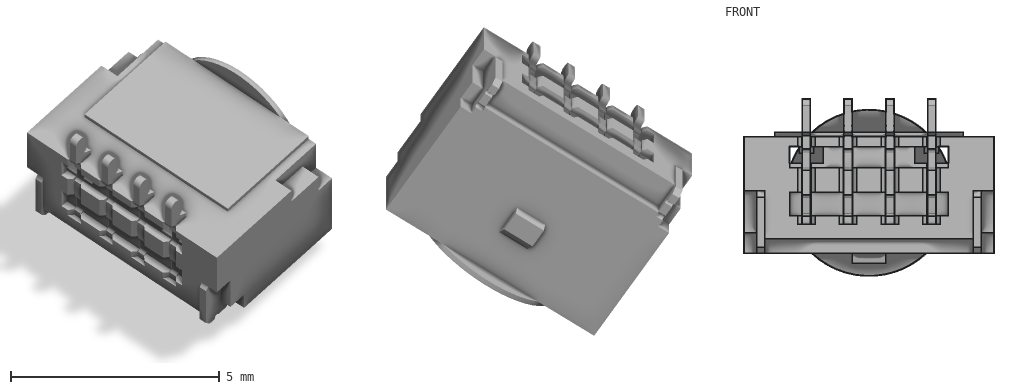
import cadquery as cq
import math


housing_width = 6.0
housing_depth = 4.25
housing_height = 2.8
half_width = housing_width / 2

plate_width = 4.525
plate_front = 1.265
plate_thickness = 0.11
disc_diameter = 3.99
disc_thickness = 0.13
disc_center_z = 1.45

back_notch_width = 0.505
back_notch_long = 1.5
back_notch_short = 0.5
back_notch_shallow = 0.395
back_notch_deep = 0.9

key_width = 0.81
key_height = 0.24
key_top_front = 2.465
key_top_back = 3.235
key_bottom_front = 2.52
key_bottom_back = 3.02

tab_inner_x = 2.495
tab_thickness = 0.2
tab_overhang = 0.05
tab_chamfer = 0.15
tab_height = 1.5
tab_upper_depth = 0.5
tab_foot_depth = 1.0
tab_foot_height = 0.5
relief_height = 0.065
relief_front = 0.355
relief_back = 0.76
relief_radius = 0.065
relief_center_z = 0.04

step_depth = 0.695
step_height = 0.35

contact_count = 4
contact_pitch = 1.0
contact_width = 0.2
contact_front = 0.12
contact_back = 0.5
slot_width = 0.23
slot_mouth_width = 0.42
slot_mouth_depth = 0.1
slot_bottom = 0.7

groove_width = 3.81
groove_depth = 0.2
upper_groove = (2.06, 2.56)
lower_groove = (0.9, 1.47)

window_width = 0.805
window_bottom = 2.165
rib_width = 0.35
rib_height = 0.16

recess_depth = 0.095
recess_fillet = 0.05
recess_slope_rise = 0.02
upper_recess = (1.99, 2.51)
lower_recess = (0.895, 1.41)
tail_front = -0.05
tail_back = 0.265
tail_top = 3.71
shoulder_back_z = 2.935
shoulder_top_z = 3.06
overhang_top_z = 2.91
overhang_bottom_z = 2.82

contact_xs = [(i - (contact_count - 1) / 2) * contact_pitch for i in range(contact_count)]


def block(x_range, y_range, z_range):
    """Box between the given limits."""
    (x0, x1), (y0, y1), (z0, z1) = x_range, y_range, z_range
    return cq.Workplane("XY").box(x1 - x0, y1 - y0, z1 - z0, centered=False).translate((x0, y0, z0))


def side_profile(points, x0, x1):
    """Prism from x0 to x1 with an outline given as (y, z) points."""
    return cq.Workplane("YZ", origin=(x0, 0, 0)).polyline(points).close().extrude(x1 - x0)


def both_sides(shape):
    """A shape together with its mirror image in the plane X = 0."""
    return shape.union(shape.mirror("YZ"))


def make_plate():
    return block(
        (-plate_width / 2, plate_width / 2),
        (plate_front, housing_depth),
        (housing_height, housing_height + plate_thickness),
    )


def make_disc():
    back = housing_depth + disc_thickness
    return (
        cq.Workplane("XZ", origin=(0, back, disc_center_z))
        .circle(disc_diameter / 2)
        .extrude(disc_thickness)
    )


def make_key():
    outline = [
        (key_top_front, 0),
        (key_bottom_front, -key_height),
        (key_bottom_back, -key_height),
        (key_top_back, 0),
    ]
    return side_profile(outline, -key_width / 2, key_width / 2)


def make_back_notches():
    x_range = (half_width - back_notch_width, half_width)
    long_part = block(
        x_range,
        (housing_depth - back_notch_long, housing_depth),
        (housing_height - back_notch_shallow, housing_height),
    )
    deep_part = block(
        x_range,
        (housing_depth - back_notch_short, housing_depth),
        (housing_height - back_notch_deep, housing_height),
    )
    return both_sides(long_part.union(deep_part))


def make_front_notches():
    x_range = (tab_inner_x, half_width)
    upper_part = block(x_range, (0, tab_upper_depth), (0, tab_height))
    foot_part = block(x_range, (0, tab_foot_depth), (0, tab_foot_height))
    return both_sides(upper_part.union(foot_part))


def make_tabs():
    """Stepped tabs with chamfered front corners and a relief with round ends under the foot."""
    front = -tab_overhang
    outline = [
        (front + tab_chamfer, 0),
        (tab_foot_depth, 0),
        (tab_foot_depth, tab_foot_height),
        (tab_upper_depth, tab_foot_height),
        (tab_upper_depth, tab_height),
        (front + tab_chamfer, tab_height),
        (front, tab_height - tab_chamfer),
        (front, tab_chamfer),
    ]
    outer_x = tab_inner_x + tab_thickness
    tab = side_profile(outline, tab_inner_x, outer_x)
    relief = block((tab_inner_x, outer_x), (relief_front, relief_back), (0, relief_height))
    round_ends = (
        cq.Workplane("YZ", origin=(tab_inner_x, 0, 0))
        .pushPoints([(relief_front, relief_center_z), (relief_back, relief_center_z)])
        .circle(relief_radius)
        .extrude(tab_thickness)
    )
    return both_sides(tab.cut(relief).cut(round_ends))


def make_front_step():
    return block((-tab_inner_x, tab_inner_x), (0, step_depth), (0, step_height))


def make_groove(z_range):
    return block((-groove_width / 2, groove_width / 2), (0, groove_depth), z_range)


def make_windows():
    """Through windows, each with a rib under its ceiling that slopes down behind the contact."""
    outer_x = groove_width / 2
    ceiling = upper_groove[1]
    window = block((outer_x - window_width, outer_x), (0, housing_depth), (window_bottom, ceiling))
    rib_outline = [
        (contact_back, ceiling),
        (contact_back + rib_height, ceiling - rib_height),
        (housing_depth, ceiling - rib_height),
        (housing_depth, ceiling),
    ]
    rib_center = contact_xs[-1]
    rib = side_profile(rib_outline, rib_center - rib_width / 2, rib_center + rib_width / 2)
    return both_sides(window.cut(rib))


def make_slot(x):
    """Vertical slot with a flared mouth, open at the front and top."""
    half_slot = slot_width / 2
    half_mouth = slot_mouth_width / 2
    outline = [
        (-half_mouth, 0),
        (-half_slot, slot_mouth_depth),
        (-half_slot, contact_back),
        (half_slot, contact_back),
        (half_slot, slot_mouth_depth),
        (half_mouth, 0),
    ]
    slot = cq.Workplane("XY").polyline(outline).close().extrude(housing_height - slot_bottom)
    return slot.translate((x, 0, slot_bottom))


def make_housing():
    housing = block((-half_width, half_width), (0, housing_depth), (0, housing_height))
    housing = housing.cut(make_back_notches())
    housing = housing.cut(make_front_notches())
    housing = housing.cut(make_front_step())
    housing = housing.cut(make_groove(upper_groove))
    housing = housing.cut(make_groove(lower_groove))
    housing = housing.cut(make_windows())
    for x in contact_xs:
        housing = housing.cut(make_slot(x))
    return housing.union(make_tabs()).union(make_plate()).union(make_disc()).union(make_key())


def make_recess(z_range, x0):
    """Cutter for a recess in the leg: sloped ends that run through a fillet into its back."""
    bottom, top = z_range
    back = contact_front + recess_depth
    slope_end = back - recess_fillet
    low = bottom + recess_slope_rise
    high = top - recess_slope_rise
    diagonal = recess_fillet * math.sqrt(0.5)
    return (
        cq.Workplane("YZ", origin=(x0, 0, 0))
        .moveTo(contact_front, bottom)
        .lineTo(slope_end, low)
        .threePointArc(
            (slope_end + diagonal, low + recess_fillet - diagonal),
            (back, low + recess_fillet),
        )
        .lineTo(back, high - recess_fillet)
        .threePointArc(
            (slope_end + diagonal, high - recess_fillet + diagonal),
            (slope_end, high),
        )
        .lineTo(contact_front, top)
        .close()
        .extrude(contact_width)
    )


def make_contact(x):
    """Flat contact: a recessed leg in the slot, a shoulder, and a round-ended tail above."""
    x0 = x - contact_width / 2
    tail_radius = (tail_back - tail_front) / 2
    tail_straight_top = tail_top - tail_radius
    contact = (
        cq.Workplane("YZ", origin=(x0, 0, 0))
        .moveTo(contact_front, slot_bottom)
        .lineTo(contact_back, slot_bottom)
        .lineTo(contact_back, shoulder_back_z)
        .lineTo(tail_back, shoulder_top_z)
        .lineTo(tail_back, tail_straight_top)
        .threePointArc((tail_front + tail_radius, tail_top), (tail_front, tail_straight_top))
        .lineTo(tail_front, overhang_top_z)
        .lineTo(contact_front, overhang_bottom_z)
        .close()
        .extrude(contact_width)
    )
    for z_range in (upper_recess, lower_recess):
        contact = contact.cut(make_recess(z_range, x0))
    return contact


housing = make_housing()
contacts = [make_contact(x) for x in contact_xs]

result = cq.Compound.makeCompound([housing.val(), *[contact.val() for contact in contacts]])